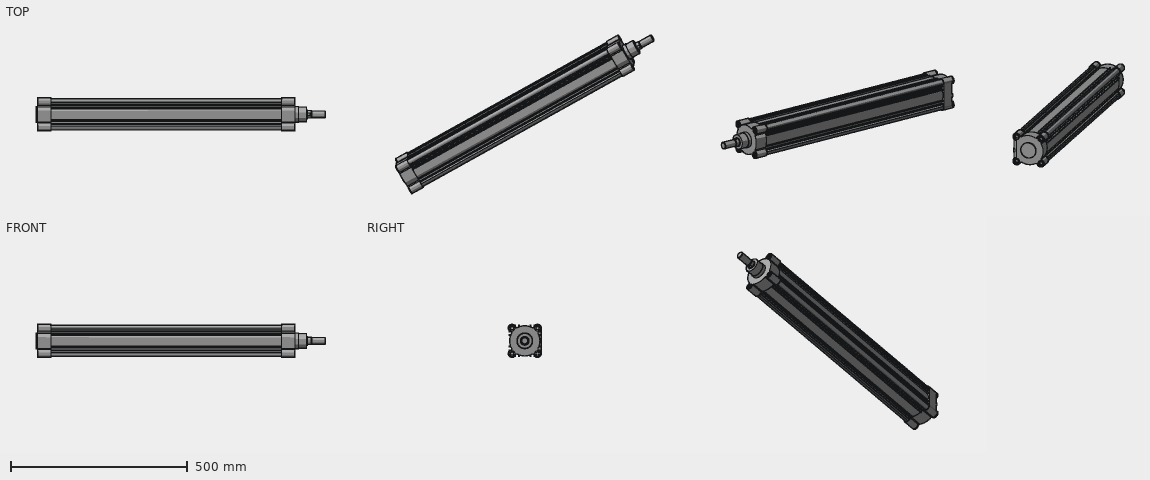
import cadquery as cq
import math


overall_length = 818.0
pilot_height = 4.0
cover_length = 38.0
cover_span = 728.0
rear_cover_end = pilot_height + cover_length
front_face = pilot_height + cover_span
front_cover_start = front_face - cover_length
wide_collar_end = front_face + 10.0
collar_end = front_face + 33.0
thread_length = 38.5
thread_start = overall_length - thread_length

bolt_offset = 36.0
lobe_radius = 11.0
cover_half_width = bolt_offset + lobe_radius
cover_radius = 43.0
flat_offset = 37.4
pilot_radius = 22.5
collar_radius = 21.0

recess_radius = 8.0
recess_depth = 2.0
socket_radius = 4.5
socket_end = 5.0
socket_tip_end = 8.0

port_half_width = bolt_offset
slope_edge = 35.5
slope_run = 8.5
boss_radius = 7.0
boss_x = 15.5
boss_z = -6.2

barrel_radius = 42.5
barrel_half_width = 44.5
lug_inner = 25.5
lug_corner_radius = barrel_half_width - bolt_offset
lug_lip_width = 2.0
slot_bottom = 40.0
slot_bottom_at = 28.5
slot_outer = 33.0
hook_base_inner = 15.5
hook_base_outer = 18.5
hook_tip_inner = 15.0
hook_tip_outer = 17.5
hook_root = 36.0

rod_radius = 12.5
shoulder_end = collar_end + 2.0
neck_radius = 11.0
neck_taper_length = 2.5
wrench_flat_offset = 10.4
wrench_flat_length = 8.0
thread_radius = 10.0
thread_chamfer = 1.5

corner_signs = [(y, z) for y in (-1, 1) for z in (-1, 1)]


def disc(radius, start, end):
    """Cylinder on the X axis between two stations."""
    return cq.Workplane("YZ", origin=(start, 0, 0)).circle(radius).extrude(end - start)


def square_bar(half_width, start, end):
    """Square bar on the X axis between two stations."""
    return cq.Workplane("YZ", origin=(start, 0, 0)).rect(2 * half_width, 2 * half_width).extrude(end - start)


def bolt_recess():
    """Round counterbore with a cone-bottomed socket, opening at the origin and running along +X."""
    return (
        cq.Workplane("XY")
        .polyline([
            (0, 0),
            (0, recess_radius),
            (recess_depth, recess_radius),
            (recess_depth, socket_radius),
            (socket_end, socket_radius),
            (socket_tip_end, 0),
        ])
        .close()
        .revolve(360, (0, 0, 0), (1, 0, 0))
    )


def cover_block(start):
    """Round cover with flats and four corner lobes."""
    end = start + cover_length
    block = disc(cover_radius, start, end).union(square_bar(flat_offset, start, end))
    lobes = (
        cq.Workplane("YZ", origin=(start, 0, 0))
        .rect(2 * bolt_offset, 2 * bolt_offset, forConstruction=True)
        .vertices()
        .circle(lobe_radius)
        .extrude(cover_length)
    )
    return block.union(lobes)


def make_rear_cover():
    cover = cover_block(pilot_height)
    port_side = (
        cq.Workplane("XY", origin=(0, 0, -port_half_width))
        .polyline([
            (pilot_height, 0),
            (pilot_height, slope_edge),
            (pilot_height + slope_run, cover_half_width),
            (rear_cover_end, cover_half_width),
            (rear_cover_end, 0),
        ])
        .close()
        .extrude(2 * port_half_width)
    )
    slope_cut = (
        cq.Workplane("XY", origin=(0, 0, -lug_inner))
        .polyline([
            (pilot_height, slope_edge),
            (pilot_height, cover_half_width),
            (pilot_height + slope_run, cover_half_width),
        ])
        .close()
        .extrude(2 * lug_inner)
    )
    boss = (
        cq.Workplane("XZ", origin=(boss_x, 0, boss_z))
        .circle(boss_radius)
        .extrude(-cover_half_width)
    )
    cover = cover.union(port_side).cut(slope_cut).union(boss)
    cover = cover.union(disc(pilot_radius, 0, pilot_height))
    for y_sign, z_sign in corner_signs:
        cover = cover.cut(bolt_recess().translate((pilot_height, y_sign * bolt_offset, z_sign * bolt_offset)))
    return cover


def make_front_cover():
    cover = cover_block(front_cover_start)
    cover = cover.union(disc(pilot_radius, front_face, wide_collar_end))
    cover = cover.union(disc(collar_radius, wide_collar_end, collar_end))
    for y_sign, z_sign in corner_signs:
        recess = bolt_recess().rotate((0, 0, 0), (0, 0, 1), 180)
        cover = cover.cut(recess.translate((front_face, y_sign * bolt_offset, z_sign * bolt_offset)))
    return cover.cut(disc(rod_radius, front_cover_start, collar_end))


def barrel_lug():
    """Corner lug of the barrel in the +Y +Z corner, with a sloped slot in both outer sides."""
    side = [
        (lug_inner, barrel_half_width),
        (lug_inner + lug_lip_width, barrel_half_width),
        (slot_bottom_at, slot_bottom),
        (slot_outer, barrel_half_width),
        (bolt_offset, barrel_half_width),
    ]
    other_side = [(z, y) for y, z in reversed(side)]
    arc_middle = bolt_offset + lug_corner_radius * math.sqrt(0.5)
    return (
        cq.Workplane("YZ", origin=(rear_cover_end, 0, 0))
        .polyline([(lug_inner, lug_inner)] + side)
        .threePointArc((arc_middle, arc_middle), other_side[0])
        .polyline(other_side[1:], includeCurrent=True)
        .close()
        .extrude(front_cover_start - rear_cover_end)
    )


def barrel_hook():
    """Thin rail beside the centre of the +Z side, on its +Y half."""
    return (
        cq.Workplane("YZ", origin=(rear_cover_end, 0, 0))
        .polyline([
            (hook_base_inner, hook_root),
            (hook_tip_inner, barrel_half_width),
            (hook_tip_outer, barrel_half_width),
            (hook_base_outer, hook_root),
        ])
        .close()
        .extrude(front_cover_start - rear_cover_end)
    )


def make_barrel():
    barrel = disc(barrel_radius, rear_cover_end, front_cover_start)
    barrel = barrel.union(square_bar(flat_offset, rear_cover_end, front_cover_start))
    side_features = [barrel_lug(), barrel_hook(), barrel_hook().mirror("XZ")]
    for quarter in range(4):
        for feature in side_features:
            barrel = barrel.union(feature.rotate((0, 0, 0), (1, 0, 0), 90 * quarter))
    return barrel


def make_piston_rod():
    rod = (
        cq.Workplane("XY")
        .polyline([
            (front_cover_start, 0),
            (front_cover_start, rod_radius),
            (shoulder_end, rod_radius),
            (shoulder_end, neck_radius),
            (thread_start - neck_taper_length, neck_radius),
            (thread_start, thread_radius),
            (overall_length - thread_chamfer, thread_radius),
            (overall_length, thread_radius - thread_chamfer),
            (overall_length, 0),
        ])
        .close()
        .revolve(360, (0, 0, 0), (1, 0, 0))
    )
    flat_depth = neck_radius - wrench_flat_offset
    for z_sign in (-1, 1):
        flat = cq.Workplane("XY").box(wrench_flat_length, 2 * neck_radius, flat_depth)
        flat_z = z_sign * (wrench_flat_offset + flat_depth / 2)
        rod = rod.cut(flat.translate((shoulder_end + wrench_flat_length / 2, 0, flat_z)))
    return rod


rear_cover = make_rear_cover()
barrel = make_barrel()
front_cover = make_front_cover()
piston_rod = make_piston_rod()

result = cq.Compound.makeCompound([
    rear_cover.val(),
    barrel.val(),
    front_cover.val(),
    piston_rod.val(),
])